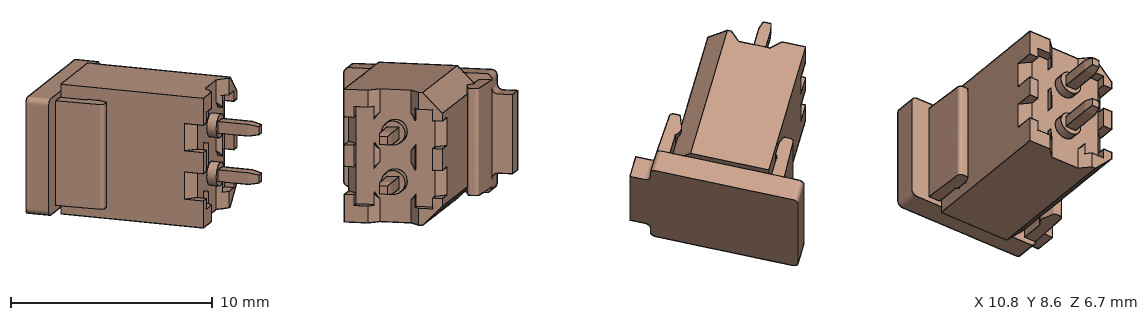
import cadquery as cq
import math

OVERALL_LENGTH = 10.8

PLATE_THICKNESS = 1.2
PLATE_WIDTH = 8.6
PLATE_HEIGHT = 6.0
TAB_WIDTH = 1.05
TAB_HEIGHT = 4.0
PLATE_RADIUS = 0.3

CLIP_LENGTH = 2.47
CLIP_HEIGHT = PLATE_HEIGHT - 2 * PLATE_RADIUS
CLIP_OUTER_Y = PLATE_WIDTH / 2 - TAB_WIDTH
CLIP_TAPER = 0.1
CLIP_GAP = 0.1
NUB_RADIUS = 0.5
NUB_RISE = 0.2
NUB_X = 1.7
NUB_RAMP_ANGLE = math.radians(20)
CLIP_OUTER_RADIUS = 0.19
CLIP_INNER_RADIUS = 0.1

HOUSING_LENGTH = 7.5
HOUSING_WIDTH = 5.0
HOUSING_HEIGHT = 6.7
HOUSING_CHAMFER = 1.0
HOUSING_BACK = PLATE_THICKNESS + HOUSING_LENGTH

RECESS_DEPTH = 0.5
RECESS_FLOOR_WIDTH = 1.59
RECESS_FLOOR = HOUSING_BACK - RECESS_DEPTH

SLOT_HEIGHT = 1.4
SLOT_INNER_Y = HOUSING_WIDTH / 2 - RECESS_DEPTH

PIN_PITCH = 2.5
PIN_HEIGHTS = [-PIN_PITCH / 2, PIN_PITCH / 2]
COLLAR_DIAMETER = 1.2
PIN_SIZE = 0.6
PIN_TIP_SIZE = 0.41
PIN_SHANK_LENGTH = 1.6
PIN_TIP_LENGTH = OVERALL_LENGTH - HOUSING_BACK - PIN_SHANK_LENGTH

GROOVE_INNER_Y = 1.05
GROOVE_HEIGHT = 2 * PIN_PITCH
CLEARANCE_RADIUS = 1.22


def make_plate():
    """Rounded plate with a narrower tab on its +Y side."""
    main_width = PLATE_WIDTH - TAB_WIDTH
    main = (
        cq.Workplane("YZ")
        .center(-TAB_WIDTH / 2, 0)
        .rect(main_width, PLATE_HEIGHT)
        .extrude(PLATE_THICKNESS)
    )
    tab = (
        cq.Workplane("YZ")
        .center(PLATE_WIDTH / 2 - TAB_WIDTH, 0)
        .rect(2 * TAB_WIDTH, TAB_HEIGHT)
        .extrude(PLATE_THICKNESS)
    )
    rounded_corners = cq.selectors.BoxSelector(
        (-0.11, -PLATE_WIDTH, -PLATE_HEIGHT),
        (PLATE_THICKNESS + 0.11, PLATE_WIDTH / 2 - TAB_WIDTH / 2, PLATE_HEIGHT),
    )
    return main.union(tab).edges("|X").edges(rounded_corners).fillet(PLATE_RADIUS)


def make_clip():
    """Tapered arm on the +Y side with a round inward nub and a ramp up to its tip."""
    root_x = PLATE_THICKNESS
    tip_x = root_x + CLIP_LENGTH
    inner_y = HOUSING_WIDTH / 2 + CLIP_GAP
    nub_x = root_x + NUB_X
    nub_peak_y = inner_y - NUB_RISE
    nub_center_y = nub_peak_y + NUB_RADIUS
    nub_start_x = nub_x - math.sqrt(NUB_RADIUS**2 - (NUB_RADIUS - NUB_RISE) ** 2)
    ramp_x = nub_x + NUB_RADIUS * math.sin(NUB_RAMP_ANGLE)
    ramp_y = nub_center_y - NUB_RADIUS * math.cos(NUB_RAMP_ANGLE)
    tip_inner_y = ramp_y + (tip_x - ramp_x) * math.tan(NUB_RAMP_ANGLE)
    arm = (
        cq.Workplane("XY", origin=(0, 0, -CLIP_HEIGHT / 2))
        .moveTo(root_x, CLIP_OUTER_Y)
        .lineTo(root_x, inner_y)
        .lineTo(nub_start_x, inner_y)
        .threePointArc((nub_x, nub_peak_y), (ramp_x, ramp_y))
        .lineTo(tip_x, tip_inner_y)
        .lineTo(tip_x, CLIP_OUTER_Y - CLIP_TAPER)
        .close()
        .extrude(CLIP_HEIGHT)
    )
    arm = arm.faces(">X").edges(">Y").fillet(CLIP_OUTER_RADIUS)
    return arm.faces(">X").edges("<Y").fillet(CLIP_INNER_RADIUS)


def make_cover():
    """Plate with a clip on each side of the housing."""
    clip = make_clip()
    return make_plate().union(clip).union(clip.mirror("XZ"))


def make_housing_block():
    """Block with its two +Y corners chamfered along its length."""
    return (
        cq.Workplane("YZ", origin=(PLATE_THICKNESS, 0, 0))
        .rect(HOUSING_WIDTH, HOUSING_HEIGHT)
        .extrude(HOUSING_LENGTH)
        .faces(">Y")
        .edges("|X")
        .chamfer(HOUSING_CHAMFER)
    )


def make_back_recess():
    """Full-height trough with 45 degree walls in the back face."""
    floor_y = RECESS_FLOOR_WIDTH / 2
    mouth_y = floor_y + RECESS_DEPTH
    return (
        cq.Workplane("XY", origin=(0, 0, -HOUSING_HEIGHT / 2))
        .moveTo(RECESS_FLOOR, -floor_y)
        .lineTo(RECESS_FLOOR, floor_y)
        .lineTo(HOUSING_BACK, mouth_y)
        .lineTo(HOUSING_BACK, -mouth_y)
        .close()
        .extrude(HOUSING_HEIGHT)
    )


def make_side_slot(pin_z):
    """Slot through the +Y side wall level with one pin, with a 45 degree floor."""
    outer_y = HOUSING_WIDTH / 2
    outer_x = RECESS_FLOOR - RECESS_DEPTH
    return (
        cq.Workplane("XY", origin=(0, 0, pin_z - SLOT_HEIGHT / 2))
        .moveTo(outer_x, outer_y)
        .lineTo(HOUSING_BACK, outer_y)
        .lineTo(HOUSING_BACK, SLOT_INNER_Y)
        .lineTo(RECESS_FLOOR, SLOT_INNER_Y)
        .close()
        .extrude(SLOT_HEIGHT)
    )


def make_groove():
    """Groove behind the +Y side wall, leaving a low ridge next to the back recess."""
    groove_width = SLOT_INNER_Y - GROOVE_INNER_Y
    groove_y = (SLOT_INNER_Y + GROOVE_INNER_Y) / 2
    return (
        cq.Workplane("YZ", origin=(RECESS_FLOOR, groove_y, 0))
        .rect(groove_width, GROOVE_HEIGHT)
        .extrude(RECESS_DEPTH)
    )


def make_clearance(pin_z):
    """Round clearance around one collar, cutting through the ridges beside it."""
    return (
        cq.Workplane("YZ", origin=(RECESS_FLOOR, 0, pin_z))
        .circle(CLEARANCE_RADIUS)
        .extrude(RECESS_DEPTH)
    )


def make_pin(pin_z):
    """Round collar, square shank and tapered tip of one contact."""
    collar = (
        cq.Workplane("YZ", origin=(RECESS_FLOOR, 0, pin_z))
        .circle(COLLAR_DIAMETER / 2)
        .extrude(RECESS_DEPTH)
    )
    shank = (
        cq.Workplane("YZ", origin=(HOUSING_BACK, 0, pin_z))
        .rect(PIN_SIZE, PIN_SIZE)
        .extrude(PIN_SHANK_LENGTH)
    )
    tip = (
        cq.Workplane("YZ", origin=(HOUSING_BACK + PIN_SHANK_LENGTH, 0, pin_z))
        .rect(PIN_SIZE, PIN_SIZE)
        .workplane(offset=PIN_TIP_LENGTH)
        .rect(PIN_TIP_SIZE, PIN_TIP_SIZE)
        .loft()
    )
    return collar.union(shank).union(tip)


def make_connector(cover):
    """Housing and its contacts, with grooves where the clip nubs of the cover engage."""
    side_opening = make_groove()
    for pin_z in PIN_HEIGHTS:
        side_opening = side_opening.union(make_side_slot(pin_z))
    connector = make_housing_block().cut(make_back_recess())
    connector = connector.cut(side_opening).cut(side_opening.mirror("XZ"))
    for pin_z in PIN_HEIGHTS:
        connector = connector.cut(make_clearance(pin_z)).union(make_pin(pin_z))
    return connector.cut(cover)


cover = make_cover()
connector = make_connector(cover)
result = cq.Compound.makeCompound([cover.solids().val(), connector.solids().val()])